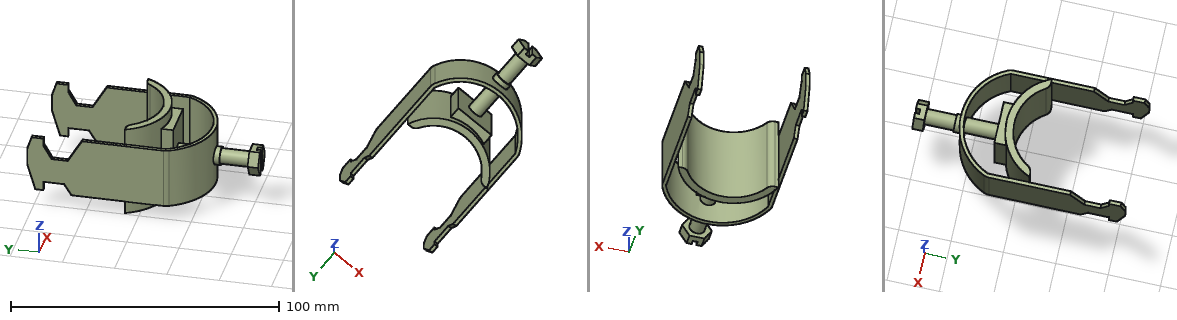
import cadquery as cq
import math


strap_outer_width = 42.5
strap_thickness = 1.5
strap_height = 23.8
base_inner_depth = 13.15
bend_radius = 5.0

leg_end_y = 52.8
hook_shoulder_y = 46.6
hook_half_height = 11.1
hook_upper_tip_y = 51.1
hook_lower_tip_y = 49.65
leg_end_top_z = 6.0
leg_end_bottom_z = -0.6
hook_upper_step_z = 8.25
neck_top_z = 2.7
neck_bottom_z = -7.5
upper_notch_outer_y = 43.4
upper_notch_inner_y = 37.25
upper_flank_end_y = 31.8
lower_notch_inner_y = 38.6
lower_flank_end_y = 35.8

saddle_inner_radius = 18.0
saddle_thickness = 3.0
saddle_height = 36.0
saddle_bottom_y = 2.8
saddle_tip_y = 15.8
saddle_lip_radius = 3.0
pad_width = 16.2
pad_height = 26.9
pad_bottom_y = -0.1

shank_diameter = 6.0
collar_diameter = 7.0
collar_end_y = -16.7
head_sides = 6
head_across_flats = 10.0
head_height = 4.0
screw_end_y = -32.0
slot_width = 1.8
slot_depth = 1.6

outer_half_width = strap_outer_width / 2
inner_half_width = outer_half_width - strap_thickness
base_inner_radius = (inner_half_width**2 + base_inner_depth**2) / (2 * base_inner_depth)
base_outer_radius = base_inner_radius + strap_thickness
base_center_y = base_inner_radius - base_inner_depth
base_outer_bottom_y = -base_inner_depth - strap_thickness
outer_corner_y = base_center_y - math.sqrt(base_outer_radius**2 - outer_half_width**2)
half_strap_height = strap_height / 2
saddle_outer_radius = saddle_inner_radius + saddle_thickness
saddle_center_y = saddle_bottom_y + saddle_outer_radius
head_across_corners = head_across_flats / math.cos(math.pi / head_sides)


def make_u_solid(half_width, bend_y, bottom_y):
    """Solid U shape: straight sides down to bend_y, then an arc through bottom_y."""
    return (
        cq.Workplane("XY", origin=(0, 0, -half_strap_height))
        .moveTo(-half_width, leg_end_y)
        .lineTo(-half_width, bend_y)
        .threePointArc((0, bottom_y), (half_width, bend_y))
        .lineTo(half_width, leg_end_y)
        .close()
        .extrude(strap_height)
    )


def make_u_band():
    """Constant-height U band, rounded at its outer bends and sharp at the inner ones."""
    outer = make_u_solid(outer_half_width, outer_corner_y, base_outer_bottom_y)
    outer = outer.edges("|Z and (not >Y)").fillet(bend_radius)
    inner = make_u_solid(inner_half_width, 0, -base_inner_depth)
    return outer.cut(inner)


def make_strap():
    """U band trimmed to the hooked leg outline."""
    outline = [
        (base_outer_bottom_y, half_strap_height),
        (upper_flank_end_y, half_strap_height),
        (upper_notch_inner_y, neck_top_z),
        (upper_notch_outer_y, neck_top_z),
        (hook_shoulder_y, hook_upper_step_z),
        (hook_shoulder_y, hook_half_height),
        (hook_upper_tip_y, hook_half_height),
        (leg_end_y, leg_end_top_z),
        (leg_end_y, leg_end_bottom_z),
        (hook_lower_tip_y, -hook_half_height),
        (hook_shoulder_y, -hook_half_height),
        (hook_shoulder_y, neck_bottom_z),
        (lower_notch_inner_y, neck_bottom_z),
        (lower_flank_end_y, -half_strap_height),
        (base_outer_bottom_y, -half_strap_height),
    ]
    side_profile = (
        cq.Workplane("YZ")
        .polyline(outline)
        .close()
        .extrude(outer_half_width, both=True)
    )
    return make_u_band().intersect(side_profile)


def make_saddle():
    """Arc-shaped trough with flat tips and rounded inner lips."""
    tip_drop = saddle_center_y - saddle_tip_y
    outer_tip_x = math.sqrt(saddle_outer_radius**2 - tip_drop**2)
    inner_tip_x = math.sqrt(saddle_inner_radius**2 - tip_drop**2)
    inner_bottom_y = saddle_bottom_y + saddle_thickness
    saddle = (
        cq.Workplane("XY", origin=(0, 0, -saddle_height / 2))
        .moveTo(-outer_tip_x, saddle_tip_y)
        .threePointArc((0, saddle_bottom_y), (outer_tip_x, saddle_tip_y))
        .lineTo(inner_tip_x, saddle_tip_y)
        .threePointArc((0, inner_bottom_y), (-inner_tip_x, saddle_tip_y))
        .close()
        .extrude(saddle_height)
    )
    mid_tip_x = (inner_tip_x + outer_tip_x) / 2
    inner_lips = cq.selectors.BoxSelector(
        (-mid_tip_x, saddle_bottom_y, -saddle_height),
        (mid_tip_x, saddle_center_y, saddle_height),
    )
    return saddle.edges("|Z").edges(inner_lips).fillet(saddle_lip_radius)


def make_pad():
    """Block under the saddle, hollowed to seat against its outer curve."""
    block_depth = saddle_center_y - pad_bottom_y
    block = cq.Workplane("XY").box(pad_width, block_depth, pad_height)
    block = block.translate((0, pad_bottom_y + block_depth / 2, 0))
    seat = cq.Workplane("XY").circle(saddle_outer_radius).extrude(pad_height, both=True)
    return block.cut(seat.translate((0, saddle_center_y, 0)))


def rod_along_y(diameter, start_y, end_y):
    """Cylinder on the screw axis, running from start_y to end_y."""
    plane = cq.Workplane("XZ", origin=(0, end_y, 0))
    return plane.circle(diameter / 2).extrude(end_y - start_y)


def make_screw():
    """Shank with collar and slotted hex head."""
    head_top_y = screw_end_y + head_height
    collar_top_y = -base_inner_depth - strap_thickness / 2
    shank = rod_along_y(shank_diameter, head_top_y, pad_bottom_y)
    collar = rod_along_y(collar_diameter, collar_end_y, collar_top_y)
    head = (
        cq.Workplane("XZ", origin=(0, head_top_y, 0))
        .polygon(head_sides, head_across_corners)
        .extrude(head_height)
    )
    slot = cq.Workplane("XY").box(slot_width, 2 * slot_depth, head_across_corners)
    head = head.cut(slot.translate((0, screw_end_y, 0)))
    return shank.union(collar).union(head)


result = make_strap().union(make_screw()).union(make_pad()).union(make_saddle())